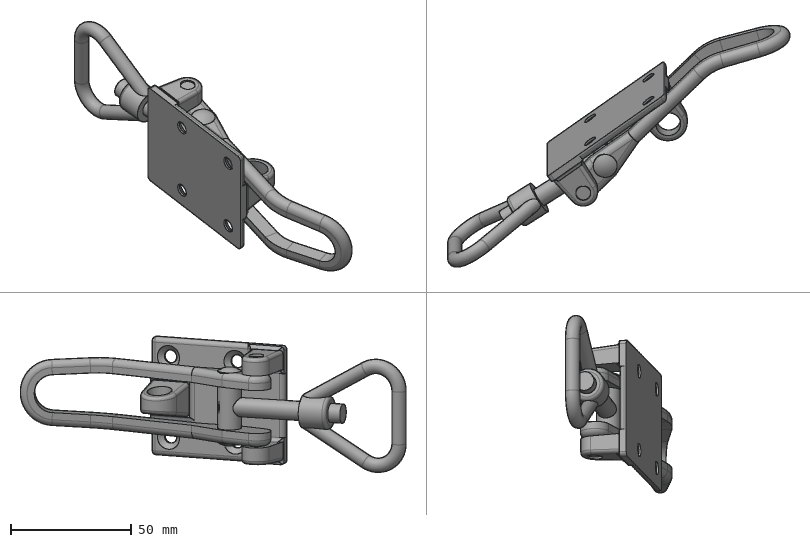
import cadquery as cq
import math


PLATE_LENGTH = 60.0
PLATE_WIDTH = 50.0
PLATE_THICKNESS = 3.0
PLATE_CORNER_RADIUS = 1.7
PLATE_EDGE_ROUND = 2.0
SCREW_HOLE_DIAMETER = 5.5
COUNTERSINK_DEPTH = 2.2
COUNTERSINK_ANGLE = 90.0
SCREW_HOLE_END_MARGIN = 8.0
SCREW_HOLE_PITCH_X = 30.0
SCREW_HOLE_PITCH_Z = 33.9

HINGE_X = 7.5
HINGE_Y = 15.2
HINGE_PIN_RADIUS = 3.0
HINGE_PIN_END_Z = 21.9
EAR_TOP_RADIUS = 6.0
EAR_FOOT_LENGTH = 14.0
EAR_INNER_Z = 15.2
EAR_TOP_OUTER_Z = 22.5
EAR_FOOT_OUTER_Z = 23.5
EAR_EDGE_ROUND = 1.5

FOOT_FLARE = 1.7

LUG_X = 50.6
LUG_HEIGHT = 24.0
LUG_TOP_RADIUS = 7.9
LUG_HOLE_RADIUS = 5.1
LUG_FOOT_LENGTH = 17.5
LUG_TOP_WIDTH = 6.8
LUG_FOOT_WIDTH = 15.0
LUG_EDGE_ROUND = 1.5

ROD_SIZE = 6.0
ROD_RADIUS = ROD_SIZE / 2
ARM_OUTER_Z = 15.0
ARM_INNER_Z = ARM_OUTER_Z - ROD_SIZE
ARM_EDGE_ROUND = 2.9
EYE_RADIUS = 6.2
ARM_SHOULDER = (21.4, 19.2)
ARM_HEEL = (16.8, 7.2)
ROD_START = (37.0, 10.3)
ROD_DROP_ANGLE = 9.0
GRIP_RISE_ANGLE = 20.0
ROD_BEND_X = 80.8
ROD_BEND_RADIUS = 21.9
GRIP_LENGTH = 32.0
GRIP_LOOP_RADIUS = 11.0

TRUNNION_X = 20.5
TRUNNION_Y = 12.8
TRUNNION_RADIUS = 5.0
TRUNNION_DOME_HEIGHT = 1.5

DRAW_TILT = 2.7
BOLT_DIAMETER = 8.0
BOLT_RADIUS = BOLT_DIAMETER / 2
BOLT_LEFT_X = -29.6
BOLT_PAST_TRUNNION_AXIS = 3.5
BOLT_RIGHT_X = TRUNNION_X + BOLT_PAST_TRUNNION_AXIS
SLEEVE_LEFT_X = -24.3
SLEEVE_RIGHT_X = -12.3
SLEEVE_RADIUS = 7.0
SLEEVE_EDGE_ROUND = 1.5
HOOK_WIRE_DIAMETER = 6.0
HOOK_WIRE_RADIUS = HOOK_WIRE_DIAMETER / 2
HOOK_LEFT_X = -57.3
HOOK_BEND_RADIUS = 9.8
HOOK_BEND_Z = 11.1
HOOK_LEG_ANGLE = 30.0


def cylinder_z(x, y, radius, z_low, z_high):
    """A cylinder along Z."""
    return cq.Workplane("XY", origin=(x, y, z_low)).circle(radius).extrude(z_high - z_low)


def cylinder_x(radius, x_low, x_high):
    """A cylinder along X on the axis of the draw bolt."""
    return (
        cq.Workplane("YZ", origin=(x_low, TRUNNION_Y, 0))
        .circle(radius)
        .extrude(x_high - x_low)
    )


def mirrored_pair(half):
    """A shape joined to its mirror image across Z = 0."""
    return half.union(half.mirror("XY"))


def tangent_point(center, radius, outside, side):
    """Where a line from an outside point touches a circle; side is +1 or -1 for the two tangents."""
    run = outside[0] - center[0]
    rise = outside[1] - center[1]
    angle = math.atan2(rise, run) + side * math.acos(radius / math.hypot(run, rise))
    return (center[0] + radius * math.cos(angle), center[1] + radius * math.sin(angle))


def arched_tab(center_x, center_y, top_radius, foot_length):
    """A tapered upright on the plate with a round top, as wide as the plate."""
    center = (center_x, center_y)
    foot_left = (center_x - foot_length / 2, PLATE_THICKNESS)
    foot_right = (center_x + foot_length / 2, PLATE_THICKNESS)
    return (
        cq.Workplane("XY", origin=(0, 0, -PLATE_WIDTH / 2))
        .moveTo(*foot_left)
        .lineTo(*tangent_point(center, top_radius, foot_left, -1))
        .threePointArc(
            (center_x, center_y + top_radius), tangent_point(center, top_radius, foot_right, 1)
        )
        .lineTo(*foot_right)
        .close()
        .extrude(PLATE_WIDTH)
    )


def trim_thickness(tab, top_y, foot_z, top_z):
    """The part of a tab between two faces that slope from the pair foot_z to the pair top_z."""
    overrun = 1.1
    wedge_top_y = PLATE_THICKNESS + (top_y - PLATE_THICKNESS) * overrun
    wedge_low_z, wedge_high_z = [foot + (top - foot) * overrun for foot, top in zip(foot_z, top_z)]
    wedge = (
        cq.Workplane("YZ")
        .moveTo(PLATE_THICKNESS, foot_z[0])
        .lineTo(PLATE_THICKNESS, foot_z[1])
        .lineTo(wedge_top_y, wedge_high_z)
        .lineTo(wedge_top_y, wedge_low_z)
        .close()
        .extrude(PLATE_LENGTH)
    )
    return tab.intersect(wedge)


def flared_prism(plane, low, high, length):
    """A low prism on the plate whose two sides flare outwards in a concave arc."""
    return (
        cq.Workplane(plane)
        .moveTo(low - FOOT_FLARE, 0)
        .lineTo(high + FOOT_FLARE, 0)
        .radiusArc((high, FOOT_FLARE), FOOT_FLARE)
        .lineTo(low, FOOT_FLARE)
        .radiusArc((low - FOOT_FLARE, 0), FOOT_FLARE)
        .close()
        .extrude(length / 2, both=True)
    )


def make_foot(plate_blank, x_range, z_range, flare_x_range):
    """The flare around the foot of a tab and the square-edged pad of plate under it."""
    across_x = cq.Plane(origin=(0, PLATE_THICKNESS, 0), xDir=(1, 0, 0), normal=(0, 0, 1))
    across_z = cq.Plane(origin=(0, PLATE_THICKNESS, 0), xDir=(0, 0, 1), normal=(-1, 0, 0))
    flare = flared_prism(across_x, *flare_x_range, 2 * PLATE_LENGTH)
    flare = flare.intersect(flared_prism(across_z, *z_range, 3 * PLATE_LENGTH))
    over_plate = plate_blank.faces("<Y").wires().toPending().extrude(-2 * PLATE_THICKNESS, combine=False)
    pad_length = x_range[1] - x_range[0] + 2 * FOOT_FLARE
    pad_width = z_range[1] - z_range[0] + 2 * FOOT_FLARE
    pad = cq.Workplane("XY").box(pad_length, PLATE_THICKNESS, pad_width).translate(
        (sum(x_range) / 2, PLATE_THICKNESS / 2, sum(z_range) / 2)
    )
    return flare.union(pad).intersect(over_plate)


def make_plate_blank():
    """The plate with round corners, before its upper edge is rounded."""
    return (
        cq.Workplane("XZ")
        .center(PLATE_LENGTH / 2, 0)
        .rect(PLATE_LENGTH, PLATE_WIDTH)
        .extrude(-PLATE_THICKNESS)
        .edges("|Y")
        .fillet(PLATE_CORNER_RADIUS)
    )


def make_ear(plate_blank):
    """The hinge ear on the +Z side: its outer face slopes and has a rounded rim."""
    tab = arched_tab(HINGE_X, HINGE_Y, EAR_TOP_RADIUS, EAR_FOOT_LENGTH)
    foot_z = (EAR_INNER_Z, EAR_FOOT_OUTER_Z)
    ear = trim_thickness(tab, HINGE_Y + EAR_TOP_RADIUS, foot_z, (EAR_INNER_Z, EAR_TOP_OUTER_Z))
    ear = ear.faces(">Z").edges("not <Y").fillet(EAR_EDGE_ROUND)
    low_x = HINGE_X - EAR_FOOT_LENGTH / 2
    high_x = HINGE_X + EAR_FOOT_LENGTH / 2
    flare_x = (low_x + FOOT_FLARE, high_x)
    return ear.union(make_foot(plate_blank, (low_x, high_x), foot_z, flare_x))


def make_lug(plate_blank):
    """The padlock lug: both of its faces slope and have rounded rims."""
    half_foot = LUG_FOOT_LENGTH / 2
    foot_z = (-LUG_FOOT_WIDTH / 2, LUG_FOOT_WIDTH / 2)
    top_z = (-LUG_TOP_WIDTH / 2, LUG_TOP_WIDTH / 2)
    center_y = LUG_HEIGHT - LUG_TOP_RADIUS
    tab = arched_tab(LUG_X, center_y, LUG_TOP_RADIUS, LUG_FOOT_LENGTH)
    lug = trim_thickness(tab, LUG_HEIGHT, foot_z, top_z)
    lug = lug.faces("<Z or >Z").edges("not <Y").fillet(LUG_EDGE_ROUND)
    foot_x = (LUG_X - half_foot, LUG_X + half_foot)
    lug = lug.union(make_foot(plate_blank, foot_x, foot_z, foot_x))
    return lug.cut(cylinder_z(LUG_X, center_y, LUG_HOLE_RADIUS, -PLATE_WIDTH, PLATE_WIDTH))


def make_base():
    blank = make_plate_blank()
    base = blank.faces(">Y").edges().fillet(PLATE_EDGE_ROUND)
    base = base.union(mirrored_pair(make_ear(blank))).union(make_lug(blank))
    base = base.cut(cylinder_z(HINGE_X, HINGE_Y, HINGE_PIN_RADIUS, -PLATE_WIDTH, PLATE_WIDTH))

    sink_slope = math.tan(math.radians(COUNTERSINK_ANGLE / 2))
    sink_radius = SCREW_HOLE_DIAMETER / 2 + COUNTERSINK_DEPTH * sink_slope
    first_x = PLATE_LENGTH - SCREW_HOLE_END_MARGIN - SCREW_HOLE_PITCH_X
    for x in (first_x, first_x + SCREW_HOLE_PITCH_X):
        for z in (-SCREW_HOLE_PITCH_Z / 2, SCREW_HOLE_PITCH_Z / 2):
            cutter = (
                cq.Workplane("XY", origin=(x, 0, z))
                .lineTo(SCREW_HOLE_DIAMETER / 2, 0)
                .lineTo(SCREW_HOLE_DIAMETER / 2, PLATE_THICKNESS - COUNTERSINK_DEPTH)
                .lineTo(sink_radius, PLATE_THICKNESS)
                .lineTo(0, PLATE_THICKNESS)
                .close()
                .revolve(360, (0, 0, 0), (0, 1, 0))
            )
            base = base.cut(cutter)
    return base


def make_arm():
    """The +Z lever arm from its hinge eye to the start of the rod, with its hinge stub."""
    drop = math.radians(ROD_DROP_ANGLE)
    hinge = (HINGE_X, HINGE_Y)
    across = (ROD_RADIUS * math.sin(drop), ROD_RADIUS * math.cos(drop))
    arm = (
        cq.Workplane("XY", origin=(0, 0, ARM_INNER_Z))
        .moveTo(*tangent_point(hinge, EYE_RADIUS, ARM_HEEL, -1))
        .threePointArc(
            (HINGE_X - EYE_RADIUS, HINGE_Y), tangent_point(hinge, EYE_RADIUS, ARM_SHOULDER, 1)
        )
        .lineTo(*ARM_SHOULDER)
        .lineTo(ROD_START[0] + across[0], ROD_START[1] + across[1])
        .lineTo(ROD_START[0] - across[0], ROD_START[1] - across[1])
        .lineTo(*ARM_HEEL)
        .close()
        .extrude(ROD_SIZE)
    )
    arm = arm.faces(">Z").edges("not >X").fillet(ARM_EDGE_ROUND)
    return arm.union(cylinder_z(HINGE_X, HINGE_Y, HINGE_PIN_RADIUS, ARM_INNER_Z, HINGE_PIN_END_Z))


def make_rod():
    """The bent rod: two dropping legs, two rising tapered legs and the loop that joins them."""
    drop = math.radians(ROD_DROP_ANGLE)
    rise = math.radians(GRIP_RISE_ANGLE)
    leg_z = ARM_OUTER_Z - ROD_RADIUS
    start = cq.Vector(ROD_START[0], ROD_START[1], leg_z)
    leg_length = (ROD_BEND_X - ROD_START[0]) / math.cos(drop)
    leg_dir = cq.Vector(math.cos(drop), -math.sin(drop), 0)
    corner = start + leg_dir * leg_length

    grip_dir = cq.Vector(math.cos(rise), math.sin(rise), 0)
    loop_distance = GRIP_LENGTH - GRIP_LOOP_RADIUS
    taper = math.atan2(leg_z, loop_distance) - math.asin(
        GRIP_LOOP_RADIUS / math.hypot(leg_z, loop_distance)
    )
    width_dir = cq.Vector(0, 0, 1)
    taper_dir = grip_dir * math.cos(taper) - width_dir * math.sin(taper)
    loop_center = corner - width_dir * leg_z + grip_dir * loop_distance
    loop_start = loop_center + (
        grip_dir * math.sin(taper) + width_dir * math.cos(taper)
    ) * GRIP_LOOP_RADIUS
    loop_tip = loop_center + grip_dir * GRIP_LOOP_RADIUS

    turn = leg_dir.getAngle(taper_dir)
    tangent_length = ROD_BEND_RADIUS * math.tan(turn / 2)
    bend_start = corner - leg_dir * tangent_length
    bend_end = corner + taper_dir * tangent_length
    to_bend_center = (taper_dir - leg_dir).normalized()
    corner_to_arc = ROD_BEND_RADIUS / math.cos(turn / 2) - ROD_BEND_RADIUS
    bend_middle = corner + to_bend_center * corner_to_arc

    def flip(point):
        return cq.Vector(point.x, point.y, -point.z)

    path = cq.Wire.assembleEdges(
        [
            cq.Edge.makeLine(start, bend_start),
            cq.Edge.makeThreePointArc(bend_start, bend_middle, bend_end),
            cq.Edge.makeLine(bend_end, loop_start),
            cq.Edge.makeThreePointArc(loop_start, loop_tip, flip(loop_start)),
            cq.Edge.makeLine(flip(loop_start), flip(bend_end)),
            cq.Edge.makeThreePointArc(flip(bend_end), flip(bend_middle), flip(bend_start)),
            cq.Edge.makeLine(flip(bend_start), flip(start)),
        ]
    )
    section = cq.Plane(origin=start, xDir=width_dir, normal=leg_dir)
    return (
        cq.Workplane(section)
        .moveTo(0, -ROD_RADIUS)
        .threePointArc((ROD_RADIUS, 0), (0, ROD_RADIUS))
        .lineTo(-ROD_RADIUS, ROD_RADIUS)
        .lineTo(-ROD_RADIUS, -ROD_RADIUS)
        .close()
        .sweep(path)
    )


def make_lever():
    lever = make_rod().union(mirrored_pair(make_arm()))
    return lever.cut(cylinder_z(TRUNNION_X, TRUNNION_Y, TRUNNION_RADIUS, -PLATE_WIDTH, PLATE_WIDTH))


def make_trunnion(bolt):
    """A cross pin with domed ends and a hole for the draw bolt."""
    tip_z = ARM_OUTER_Z + TRUNNION_DOME_HEIGHT
    dome_radius = (TRUNNION_RADIUS**2 + TRUNNION_DOME_HEIGHT**2) / (2 * TRUNNION_DOME_HEIGHT)
    profile = (
        cq.Workplane("XZ", origin=(TRUNNION_X, TRUNNION_Y, 0))
        .moveTo(0, -tip_z)
        .radiusArc((TRUNNION_RADIUS, -ARM_OUTER_Z), -dome_radius)
        .lineTo(TRUNNION_RADIUS, ARM_OUTER_Z)
        .radiusArc((0, tip_z), -dome_radius)
        .close()
    )
    return profile.revolve(360, (0, 0, 0), (0, 1, 0)).cut(bolt)


def tilt_about_trunnion(shape):
    axis_start = (TRUNNION_X, TRUNNION_Y, 0)
    axis_end = (TRUNNION_X, TRUNNION_Y, 1)
    return shape.rotate(axis_start, axis_end, DRAW_TILT)


def make_bolt():
    return tilt_about_trunnion(cylinder_x(BOLT_RADIUS, BOLT_LEFT_X, BOLT_RIGHT_X))


def make_hook():
    """A triangular wire loop whose two legs end in the sleeve on the draw bolt."""
    leg = math.radians(HOOK_LEG_ANGLE)
    bar_x = HOOK_LEFT_X + HOOK_WIRE_RADIUS
    bend_x = bar_x + HOOK_BEND_RADIUS
    leg_x = bend_x + HOOK_BEND_RADIUS * math.sin(leg)
    leg_z = HOOK_BEND_Z + HOOK_BEND_RADIUS * math.cos(leg)
    end_x = SLEEVE_RIGHT_X + HOOK_WIRE_RADIUS
    end_z = leg_z - (end_x - leg_x) * math.tan(leg)
    half_turn = (math.pi / 2 + leg) / 2
    mid_x = bend_x - HOOK_BEND_RADIUS * math.cos(half_turn)
    mid_z = HOOK_BEND_Z + HOOK_BEND_RADIUS * math.sin(half_turn)

    half_path = (
        cq.Workplane("XZ", origin=(0, TRUNNION_Y, 0))
        .moveTo(bar_x, 0)
        .lineTo(bar_x, HOOK_BEND_Z)
        .threePointArc((mid_x, mid_z), (leg_x, leg_z))
        .lineTo(end_x, end_z)
    )
    half_wire = (
        cq.Workplane("XY", origin=(bar_x, TRUNNION_Y, 0)).circle(HOOK_WIRE_RADIUS).sweep(half_path)
    )
    wire = mirrored_pair(half_wire)
    beyond_sleeve = cylinder_x(PLATE_WIDTH, SLEEVE_RIGHT_X, TRUNNION_X)
    sleeve = cylinder_x(SLEEVE_RADIUS, SLEEVE_LEFT_X, SLEEVE_RIGHT_X)
    sleeve = sleeve.faces("<X").edges().fillet(SLEEVE_EDGE_ROUND)
    hook = wire.cut(beyond_sleeve).union(sleeve)
    return tilt_about_trunnion(hook.cut(cylinder_x(BOLT_RADIUS, BOLT_LEFT_X, BOLT_RIGHT_X)))


base = make_base()
lever = make_lever()
bolt = make_bolt()
trunnion = make_trunnion(bolt)
hook = make_hook()

result = cq.Compound.makeCompound(
    [base.val(), lever.val(), trunnion.val(), bolt.val(), hook.val()]
)